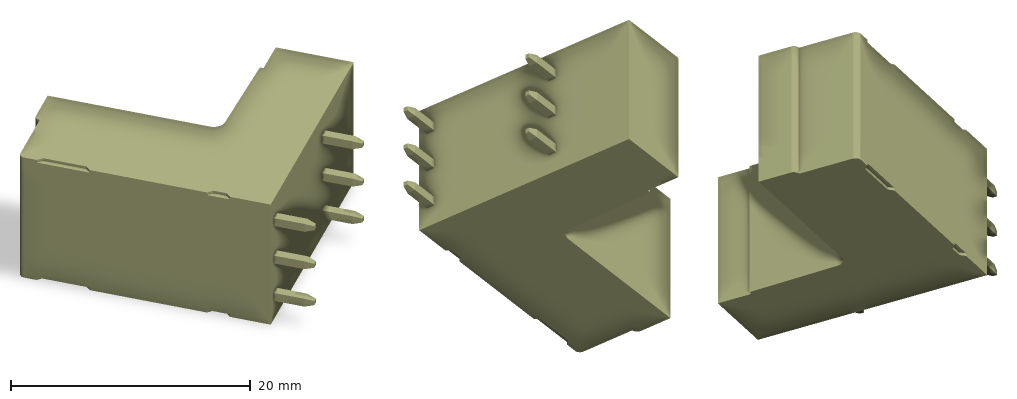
import cadquery as cq
import math


housing_length = 22.7
housing_depth = 21.9
housing_height = 12.22
arm_depth = 9.2
column_top_thickness = 6.87
column_step = 0.33
column_step_y = 18.7
column_draft_angle = 1.5
inner_corner_radius = 1.0

nose_overhang = 0.5
nose_lower_y = 5.61
outer_corner_radius = 0.5

notch_depth = 0.42
notch_height = 0.26
notch_bevel = 0.42
notch_spans = [(-20.59, -15.93), (-5.6, -3.6)]

pin_length = 3.5
pin_width = 0.8
pin_tip_length = 0.8
pin_tip_width = 0.4
pin_pitch = 3.81
pin_row_spacing = 12.7
front_row_y = 1.2
pin_rows_y = [front_row_y, front_row_y + pin_row_spacing]
pin_levels_z = [-pin_pitch, 0, pin_pitch]


def make_housing():
    """L-shaped block with a drafted column and a stepped, rounded nose."""
    nose_x = -housing_length
    lower_end_x = nose_x + nose_overhang
    ledge_x = -column_top_thickness - column_step
    draft_run = (column_step_y - arm_depth) * math.tan(math.radians(column_draft_angle))
    inner_corner_x = ledge_x - draft_run

    block = (
        cq.Workplane("XY")
        .workplane(offset=-housing_height / 2)
        .moveTo(lower_end_x, 0)
        .lineTo(0, 0)
        .lineTo(0, housing_depth)
        .lineTo(-column_top_thickness, housing_depth)
        .lineTo(-column_top_thickness, column_step_y)
        .lineTo(ledge_x, column_step_y)
        .lineTo(inner_corner_x, arm_depth)
        .lineTo(nose_x, arm_depth)
        .lineTo(nose_x, nose_lower_y + nose_overhang)
        .tangentArcPoint((lower_end_x, nose_lower_y), relative=False)
        .close()
        .extrude(housing_height)
    )

    def upright_edge(x, y):
        return cq.selectors.NearestToPointSelector((x, y, 0))

    block = block.edges(upright_edge(inner_corner_x, arm_depth)).fillet(inner_corner_radius)
    return block.edges(upright_edge(lower_end_x, 0)).fillet(outer_corner_radius)


def make_notch(start_x, end_x, bottom_z):
    """Cutter for one front-edge notch that narrows inwards at both ends."""
    return (
        cq.Workplane("XY")
        .workplane(offset=bottom_z)
        .polyline([
            (start_x, 0),
            (end_x, 0),
            (end_x - notch_bevel, notch_depth),
            (start_x + notch_bevel, notch_depth),
        ])
        .close()
        .extrude(notch_height)
    )


def make_pin(y, z):
    """Square pin along +X with a pyramidal tip."""
    shank_length = pin_length - pin_tip_length
    shank = cq.Workplane("YZ", origin=(0, y, z)).rect(pin_width, pin_width).extrude(shank_length)
    tip = (
        cq.Workplane("YZ", origin=(shank_length, y, z))
        .rect(pin_width, pin_width)
        .workplane(offset=pin_tip_length)
        .rect(pin_tip_width, pin_tip_width)
        .loft(ruled=True)
    )
    return shank.union(tip)


result = make_housing()

for start_x, end_x in notch_spans:
    for bottom_z in (-housing_height / 2, housing_height / 2 - notch_height):
        result = result.cut(make_notch(start_x, end_x, bottom_z))

for y in pin_rows_y:
    for z in pin_levels_z:
        result = result.union(make_pin(y, z))